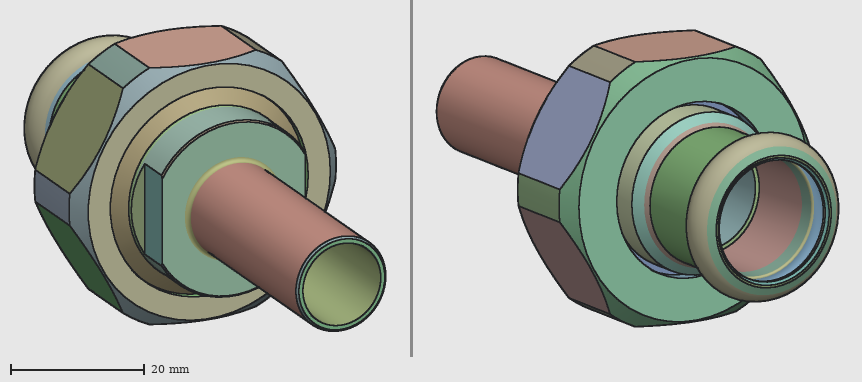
import cadquery as cq
import math

total_length = 84.0

bead_radius = 3.0
bead_diameter = 25.9
mouth_radius = 10.2
bead_face_depth = 0.6
bead_face_radius = 11.4
bead_foot_radius = 11.2
bead_fillet_end = 6.5
socket_diameter = 21.3
entry_diameter = 18.7
socket_bore = 18.3
entry_round = 0.4
seal_groove_radius = 1.6
groove_x = 2.5
groove_exit_round = 0.3
entry_length = 6.7
pipe_stop_x = 18.8
stop_bore = 17.0
collar_fillet_start = 18.0
collar_chamfer_start = 18.8
collar_foot_diameter = 22.35
collar_diameter = 25.0
flange_diameter = 30.3
flange_thickness = 2.5

nut_start = 22.8
nut_length = 16.3
nut_across_flats = 41.0
nut_corner_diameter = 44.7
nut_face_diameter = 40.5
nut_chamfer_length = 2.3
nut_mouth = 27.1
nut_lip = 2.5
thread_diameter = 33.1

shoulder_end = 40.2
shoulder_fillet_length = 0.6
shoulder_fillet_height = 0.1
wrench_diameter = 28.0
wrench_end = 47.4
wrench_edge_chamfer = 0.25
flat_start = 41.5
flat_wall_run = 0.5
wrench_across_flats = 23.9
tail_diameter = 15.0
tail_bore = 13.0
tail_fillet = 0.7
tail_edge_chamfer = 0.3

nut_end = nut_start + nut_length
flange_start = nut_start + nut_lip
flange_end = flange_start + flange_thickness
bead_center_radius = bead_diameter / 2 - bead_radius


def revolve_about_x(profile):
    """Turn a closed (x, radius) outline about the X axis."""
    return profile.close().revolve(360, (0, 0, 0), (1, 0, 0))


def half_chord(circle_radius, distance):
    """Half the chord that lies at a distance from the circle's center."""
    return math.sqrt(circle_radius**2 - distance**2)


def make_socket():
    """Socket with a rolled bead, a collar and the flange held by the nut."""
    face_half = half_chord(bead_radius, bead_face_radius - bead_center_radius)
    foot_half = half_chord(bead_radius, bead_foot_radius - bead_center_radius)
    bead_x = bead_face_depth + face_half
    groove_edge = entry_diameter / 2 + groove_exit_round
    groove_half = half_chord(seal_groove_radius, bead_center_radius - groove_edge)
    collar_chamfer = (collar_diameter - collar_foot_diameter) / 2
    profile = (
        cq.Workplane("XY")
        .moveTo(0, mouth_radius)
        .lineTo(bead_face_depth, bead_face_radius)
        .threePointArc((bead_x, bead_diameter / 2), (bead_x + foot_half, bead_foot_radius))
        .lineTo(bead_fillet_end, socket_diameter / 2)
        .lineTo(collar_fillet_start, socket_diameter / 2)
        .lineTo(collar_chamfer_start, collar_foot_diameter / 2)
        .lineTo(collar_chamfer_start + collar_chamfer, collar_diameter / 2)
        .lineTo(flange_start, collar_diameter / 2)
        .lineTo(flange_start, flange_diameter / 2)
        .lineTo(flange_end, flange_diameter / 2)
        .lineTo(flange_end, stop_bore / 2)
        .lineTo(pipe_stop_x, stop_bore / 2)
        .lineTo(pipe_stop_x, socket_bore / 2)
        .lineTo(entry_length, socket_bore / 2)
        .lineTo(groove_x + groove_half + groove_exit_round, entry_diameter / 2)
        .radiusArc((groove_x + groove_half, groove_edge), groove_exit_round)
        .threePointArc(
            (groove_x, bead_center_radius + seal_groove_radius),
            (groove_x - groove_half, groove_edge),
        )
        .lineTo(groove_x - groove_half, entry_diameter / 2)
        .lineTo(entry_round, entry_diameter / 2)
        .radiusArc((0, entry_diameter / 2 + entry_round), -entry_round)
    )
    return revolve_about_x(profile)


def make_nut():
    """Hexagon nut with turned corners, conical ends and a retaining lip."""
    across_corners = nut_across_flats / math.cos(math.pi / 6)
    hexagon = (
        cq.Workplane("YZ", origin=(nut_start, 0, 0))
        .polygon(6, across_corners)
        .extrude(nut_length)
    )
    turned = revolve_about_x(
        cq.Workplane("XY")
        .moveTo(nut_start, nut_mouth / 2)
        .lineTo(nut_start, nut_face_diameter / 2)
        .lineTo(nut_start + nut_chamfer_length, nut_corner_diameter / 2)
        .lineTo(nut_end - nut_chamfer_length, nut_corner_diameter / 2)
        .lineTo(nut_end, nut_face_diameter / 2)
        .lineTo(nut_end, thread_diameter / 2)
        .lineTo(flange_start, thread_diameter / 2)
        .lineTo(flange_start, nut_mouth / 2)
    )
    return hexagon.intersect(turned)


def make_wrench_flat_cutter(side):
    """Prism that cuts one wrench flat, with a leaning wall at its inner end."""
    inner_y = side * wrench_across_flats / 2
    outer_y = side * wrench_diameter / 2
    return (
        cq.Workplane("XY")
        .moveTo(flat_start, inner_y)
        .lineTo(wrench_end, inner_y)
        .lineTo(wrench_end, outer_y)
        .lineTo(flat_start - flat_wall_run, outer_y)
        .close()
        .extrude(wrench_diameter / 2, both=True)
    )


def make_tail():
    """Threaded head with two wrench flats and a plain pipe end."""
    shoulder_chamfer = (thread_diameter - wrench_diameter) / 2 - shoulder_fillet_height
    profile = (
        cq.Workplane("XY")
        .moveTo(flange_end, tail_bore / 2)
        .lineTo(flange_end, thread_diameter / 2)
        .lineTo(shoulder_end - shoulder_chamfer, thread_diameter / 2)
        .lineTo(shoulder_end, wrench_diameter / 2 + shoulder_fillet_height)
        .lineTo(shoulder_end + shoulder_fillet_length, wrench_diameter / 2)
        .lineTo(wrench_end - wrench_edge_chamfer, wrench_diameter / 2)
        .lineTo(wrench_end, wrench_diameter / 2 - wrench_edge_chamfer)
        .lineTo(wrench_end, tail_diameter / 2 + tail_fillet)
        .radiusArc((wrench_end + tail_fillet, tail_diameter / 2), -tail_fillet)
        .lineTo(total_length - tail_edge_chamfer, tail_diameter / 2)
        .lineTo(total_length, tail_diameter / 2 - tail_edge_chamfer)
        .lineTo(total_length, tail_bore / 2)
    )
    tail = revolve_about_x(profile)
    for side in (-1, 1):
        tail = tail.cut(make_wrench_flat_cutter(side))
    return tail


socket = make_socket()
nut = make_nut()
tail = make_tail()

result = cq.Compound.makeCompound([socket.val(), nut.val(), tail.val()])